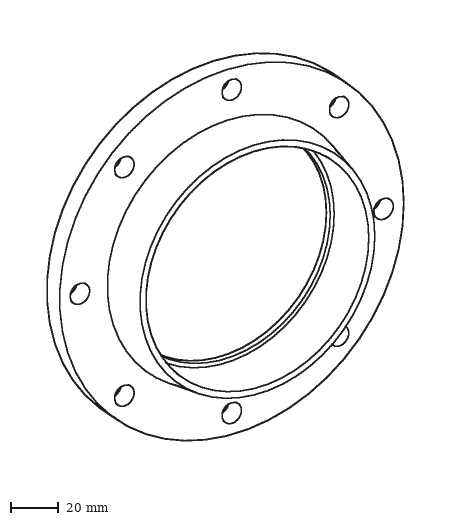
import cadquery as cq

flange_diameter = 170.0
flange_thickness = 10.0

total_length = 30.0
hub_base_diameter = 122.9
hub_end_diameter = 116.0

lip_diameter = 106.0
lip_length = 3.0
bore_diameter = 110.0

bolt_hole_diameter = 9.5
bolt_circle_diameter = 150.0
bolt_hole_count = 8


def ring_body():
    """Flange, tapered hub and stepped bore, revolved about the X axis."""
    profile = [
        (0, lip_diameter / 2),
        (0, flange_diameter / 2),
        (flange_thickness, flange_diameter / 2),
        (flange_thickness, hub_base_diameter / 2),
        (total_length, hub_end_diameter / 2),
        (total_length, bore_diameter / 2),
        (lip_length, bore_diameter / 2),
        (lip_length, lip_diameter / 2),
    ]
    return cq.Workplane("XY").polyline(profile).close().revolve(360, (0, 0, 0), (1, 0, 0))


def bolt_holes():
    """Cutters for the evenly spaced holes through the flange."""
    return (
        cq.Workplane("YZ")
        .polarArray(bolt_circle_diameter / 2, 0, 360, bolt_hole_count)
        .circle(bolt_hole_diameter / 2)
        .extrude(flange_thickness)
    )


result = ring_body().cut(bolt_holes())